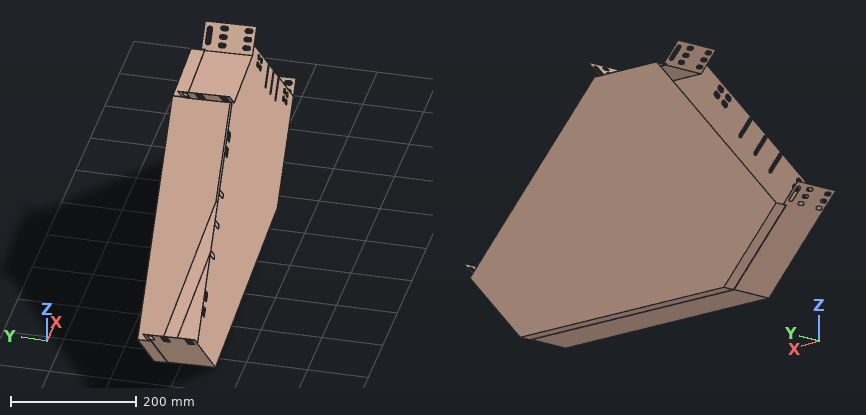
import cadquery as cq
import math


tray_width = 400.0
sheet = 0.55
throat_length = 139.8
inner_leg = 18.0
bend_half_angle = 22.5
closed_height = 101.2
joint_height = 78.5

lid_overhang = 0.8
lid_setback = 16.0

tab_projection = 30.0
tab_height = 84.5
tab_length = tab_projection + lid_setback
tab_center = tab_length / 2 - lid_setback
tab_hole_width = 7.0
tab_hole_length = 12.0
tab_hole_pitch = 14.0
tab_hole_heights = (11.5, 51.5)
tab_slot_length = 30.0
tab_slot_width = 8.0
tab_slot_height = 75.0

floor_slot_length = 38.0
floor_slot_width = 7.5
floor_slot_pitch = 50.0
floor_slot_depth = 20.0
floor_hole_length = 15.0
floor_hole_width = 7.5
floor_hole_rows = (9.0, 21.0)
floor_hole_margins = (56.0, 81.5)

tilt_about_x = -0.4
tilt_about_y = -1.6
tilt_about_z = 1.28

diagonal = math.sqrt(0.5)


def elbow_slab(near, far, setback, bottom, top):
    """Elbow-shaped slab between two distances from the throat wall, shortened at both ends."""
    growth = math.tan(math.radians(bend_half_angle))
    half = []
    for distance in (near, far):
        bend_x = throat_length / 2 + distance * growth
        leg = (inner_leg + distance * growth - setback) * diagonal
        half.append(((bend_x, -distance), (bend_x + leg, leg - distance)))
    (near_bend, near_end), (far_bend, far_end) = half
    right = [near_bend, near_end, far_end, far_bend]
    left = [(-x, z) for x, z in reversed(right)]
    return (
        cq.Workplane("XZ", origin=(0, bottom, 0))
        .polyline(right + left).close()
        .extrude(bottom - top)
    )


def elbow_walls(near, far, setback, bottom, top):
    """Side walls on both sides of the elbow."""
    outer = elbow_slab(near, far, setback, bottom, top)
    channel = elbow_slab(near + sheet, far - sheet, setback - sheet, bottom, top)
    return outer.cut(channel)


def both_ends(right_end):
    """Features of the right open end together with their mirror image at the left one."""
    return right_end.union(right_end.mirror("YZ"))


end_corner = (throat_length / 2 + inner_leg * diagonal, 0, inner_leg * diagonal)
floor_plane = cq.Plane(origin=end_corner, xDir=(1, 0, 1), normal=(0, -1, 0))
wall_plane = cq.Plane(origin=end_corner, xDir=(1, 0, 1), normal=(-1, 0, 1))


def end_tabs():
    """Tabs that carry the two side walls beyond the right open end."""
    tab = (
        cq.Workplane(wall_plane)
        .center(tab_center, tab_height / 2)
        .rect(tab_length, tab_height)
    )
    inner_tab = tab.extrude(-sheet)
    across = cq.Vector(1, 0, -1) * diagonal
    return inner_tab.union(inner_tab.translate(across * (tray_width - sheet)))


def tab_holes():
    """Cutters through both tabs of the right open end."""
    holes = [
        (tab_center + step * tab_hole_pitch, height)
        for step in (-1, 0, 1)
        for height in tab_hole_heights
    ]
    small = (
        cq.Workplane(wall_plane)
        .pushPoints(holes)
        .slot2D(tab_hole_length, tab_hole_width, 90)
        .extrude(-tray_width)
    )
    long = (
        cq.Workplane(wall_plane)
        .center(tab_center, tab_slot_height)
        .slot2D(tab_slot_length, tab_slot_width)
        .extrude(-tray_width)
    )
    return small.union(long)


def floor_holes():
    """Cutters through the floor along the right open end."""
    slots = [(-floor_slot_depth, -tray_width / 2 + step * floor_slot_pitch) for step in (-1, 0, 1)]
    holes = [
        (-row, across)
        for row in floor_hole_rows
        for margin in floor_hole_margins
        for across in (-margin, margin - tray_width)
    ]
    long = (
        cq.Workplane(floor_plane)
        .pushPoints(slots)
        .slot2D(floor_slot_length, floor_slot_width)
        .extrude(-sheet)
    )
    small = (
        cq.Workplane(floor_plane)
        .pushPoints(holes)
        .slot2D(floor_hole_length, floor_hole_width, 90)
        .extrude(-sheet)
    )
    return long.union(small)


def make_tray():
    """Floor, side walls and tabs as one bent sheet."""
    floor = elbow_slab(0, tray_width, 0, 0, sheet)
    tray = floor.union(elbow_walls(0, tray_width, 0, 0, joint_height)).union(both_ends(end_tabs()))
    return tray.cut(both_ends(tab_holes())).cut(both_ends(floor_holes()))


def make_lid():
    """Flat top with a rim along the side walls."""
    near = -lid_overhang
    far = tray_width + lid_overhang
    top = elbow_slab(near, far, lid_setback, closed_height - sheet, closed_height)
    return top.union(elbow_walls(near, far, lid_setback, joint_height, closed_height))


def tilt(body):
    """Turns a level body into the mounted attitude."""
    origin = (0, 0, 0)
    return (
        body.rotate(origin, (0, 1, 0), tilt_about_y)
        .rotate(origin, (1, 0, 0), tilt_about_x)
        .rotate(origin, (0, 0, 1), tilt_about_z)
    )


tray = tilt(make_tray())
lid = tilt(make_lid())

result = cq.Compound.makeCompound([tray.val(), lid.val()])